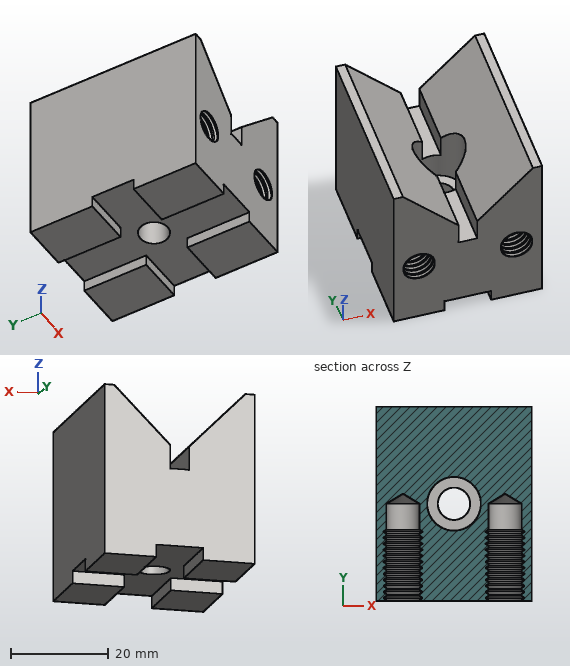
import cadquery as cq
import math

width = 32.0
length = 40.0
height = 36.0

top_land_width = 2.0
relief_width = 4.0
relief_floor_z = 19.0
v_half_width = width / 2 - top_land_width
v_root_z = height - (v_half_width - relief_width / 2)

keyway_width = 10.0
keyway_depth = 2.6

screw_diameter = 6.6
counterbore_diameter = 11.0
counterbore_depth = 6.0
counterbore_floor_z = relief_floor_z - counterbore_depth

minor_diameter = 6.8
major_diameter = 8.0
hole_spacing = 21.0
hole_z = 14.5
drill_depth = 20.0
drill_point_angle = 118.0
thread_pitch = 1.25
thread_groove_width = 0.85
thread_turns = 12


def make_block():
    """Extrude the V block outline along the whole length."""
    half_relief = relief_width / 2
    return (
        cq.Workplane("XZ", origin=(0, length / 2, 0))
        .moveTo(-width / 2, 0)
        .lineTo(width / 2, 0)
        .lineTo(width / 2, height)
        .lineTo(v_half_width, height)
        .lineTo(half_relief, v_root_z)
        .lineTo(half_relief, relief_floor_z)
        .lineTo(-half_relief, relief_floor_z)
        .lineTo(-half_relief, v_root_z)
        .lineTo(-v_half_width, height)
        .lineTo(-width / 2, height)
        .close()
        .extrude(length)
    )


def make_keyways():
    """Cutter for the keyways running along Y and along X."""
    base = cq.Workplane("XY")
    along_y = base.rect(keyway_width, length).extrude(keyway_depth)
    along_x = base.rect(width, keyway_width).extrude(keyway_depth)
    return along_y.union(along_x)


def make_screw_hole():
    """Cutter for the through hole and its counterbore."""
    shank = cq.Workplane("XY").circle(screw_diameter / 2).extrude(height)
    head = (
        cq.Workplane("XY", origin=(0, 0, counterbore_floor_z))
        .circle(counterbore_diameter / 2)
        .extrude(height - counterbore_floor_z)
    )
    return shank.union(head)


def make_threaded_hole(x):
    """Cutter for a drilled hole whose thread is a row of V-shaped ring grooves."""
    minor_radius = minor_diameter / 2
    major_radius = major_diameter / 2
    drill_tip = minor_radius / math.tan(math.radians(drill_point_angle / 2))

    profile = cq.Workplane("XY").lineTo(minor_radius, 0)
    for turn in range(thread_turns):
        groove_center = (turn + 0.5) * thread_pitch
        profile = (
            profile.lineTo(minor_radius, groove_center - thread_groove_width / 2)
            .lineTo(major_radius, groove_center)
            .lineTo(minor_radius, groove_center + thread_groove_width / 2)
        )
    profile = (
        profile.lineTo(minor_radius, drill_depth)
        .lineTo(0, drill_depth + drill_tip)
        .close()
    )
    cutter = profile.revolve(360, (0, 0, 0), (0, 1, 0))
    return cutter.translate((x, -length / 2, hole_z))


result = make_block().cut(make_keyways()).cut(make_screw_hole())
for side in (-1, 1):
    result = result.cut(make_threaded_hole(side * hole_spacing / 2))